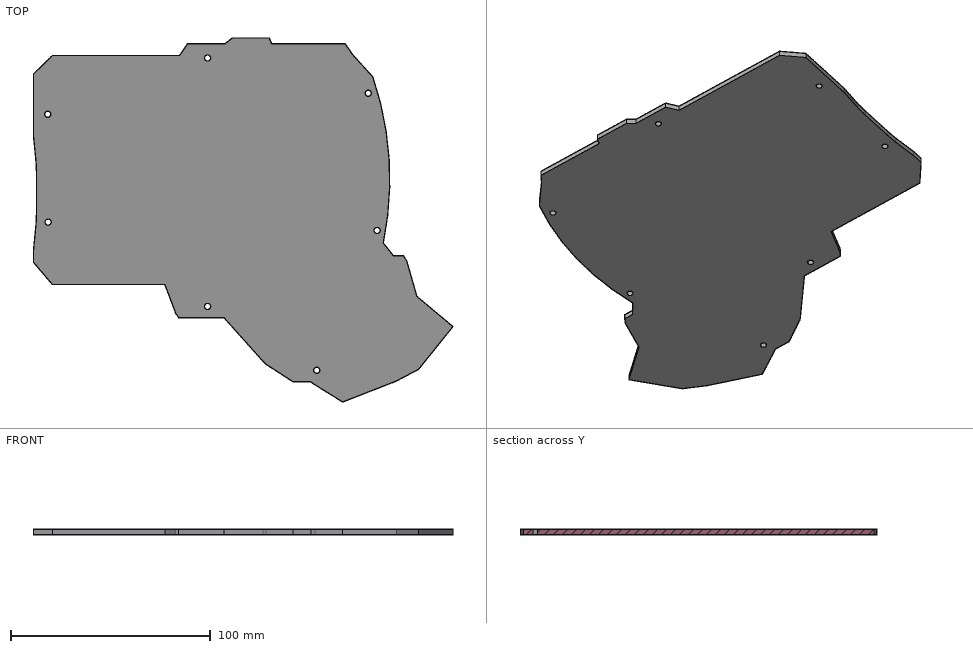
import cadquery as cq

length = 210.0
width = 182.3
thickness = 3.0
hole_diameter = 3.0

top_edge = 173.5
raised_top_edge = 179.4
bottom_edge = 58.8
lower_tab_edge = 42.2
thumb_ledge = 10.0
corner_cut = 9.5

waist_middle = 104.5
waist_profile = [(0.0, 28.4), (1.3, 15.3), (1.5, 9.5)]

hole_centers = [
    (7.1, 144.0),
    (7.4, 90.1),
    (87.2, 172.2),
    (167.6, 154.5),
    (172.0, 86.0),
    (87.2, 47.9),
    (141.8, 16.0),
]

waist_lower_half = [(depth, waist_middle - offset) for depth, offset in waist_profile]
waist_upper_half = [(depth, waist_middle + offset) for depth, offset in reversed(waist_profile)]

left_side = [
    (corner_cut, bottom_edge),
    (0.0, 70.0),
    *waist_lower_half,
    *waist_upper_half,
    (0.0, 164.3),
    (corner_cut, top_edge),
]

top_side = [
    (73.0, top_edge),
    (77.0, raised_top_edge),
    (95.8, raised_top_edge),
    (99.5, width),
    (118.0, width),
    (119.3, raised_top_edge),
    (156.0, raised_top_edge),
    (159.8, 174.0),
]

bow_start = (170.0, 162.8)
bow_middle = (178.0, 124.3)
bow_end = (175.2, 79.6)

thumb_side = [
    (180.2, 73.3),
    (185.3, 73.3),
    (187.0, 70.5),
    (192.0, 53.0),
    (length, 37.8),
    (192.8, 16.4),
    (181.7, 10.5),
    (154.8, 0.0),
    (141.0, 8.6),
    (138.8, thumb_ledge),
    (130.0, thumb_ledge),
    (116.4, 19.0),
    (114.9, 20.4),
    (95.4, lower_tab_edge),
    (72.7, lower_tab_edge),
    (71.2, 44.3),
    (65.7, bottom_edge),
]

plate = (
    cq.Workplane("XY")
    .polyline(left_side + top_side + [bow_start])
    .threePointArc(bow_middle, bow_end)
)
for point in thumb_side:
    plate = plate.lineTo(*point)
plate = plate.close().extrude(thickness)

holes = (
    cq.Workplane("XY")
    .pushPoints(hole_centers)
    .circle(hole_diameter / 2)
    .extrude(thickness)
)

result = plate.cut(holes)